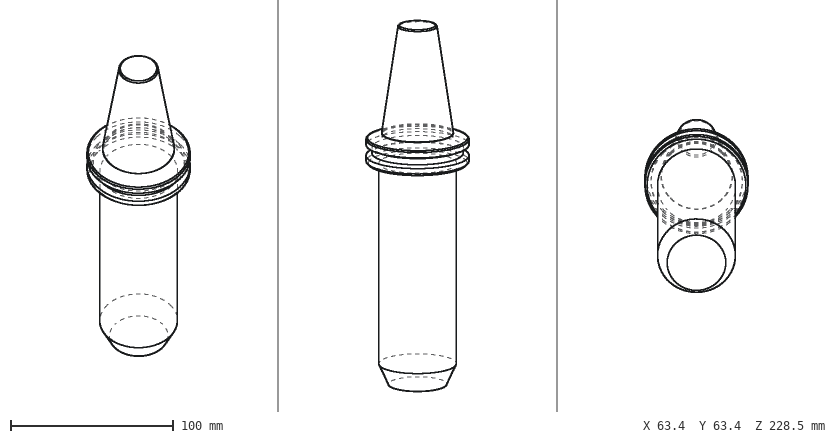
import cadquery as cq

total_height = 228.5
gauge_height = 159.9
flange_top = 156.7
flange_bottom = 140.7
groove_center = 149.0
nose_height = 13.0

taper_top_radius = 12.0
taper_base_radius = 22.2
neck_radius = 21.7
flange_radius = 31.7
groove_radius = 28.0
body_radius = 24.0
nose_radius = 18.0

groove_floor_width = 3.9
groove_mouth_width = 6.9
taper_top_chamfer = 1.0
neck_step = 0.5
neck_fillet = 1.0
flange_top_chamfer = 1.0
flange_bottom_chamfer = 1.4

profile = (
    cq.Workplane("XZ")
    .moveTo(0, 0)
    .lineTo(nose_radius, 0)
    .lineTo(body_radius, nose_height)
    .lineTo(body_radius, flange_bottom)
    .lineTo(flange_radius - flange_bottom_chamfer, flange_bottom)
    .lineTo(flange_radius, flange_bottom + flange_bottom_chamfer)
    .lineTo(flange_radius, groove_center - groove_mouth_width / 2)
    .lineTo(groove_radius, groove_center - groove_floor_width / 2)
    .lineTo(groove_radius, groove_center + groove_floor_width / 2)
    .lineTo(flange_radius, groove_center + groove_mouth_width / 2)
    .lineTo(flange_radius, flange_top - flange_top_chamfer)
    .lineTo(flange_radius - flange_top_chamfer, flange_top)
    .lineTo(neck_radius + neck_fillet, flange_top)
    .radiusArc((neck_radius, flange_top + neck_fillet), neck_fillet)
    .lineTo(neck_radius, gauge_height - neck_step)
    .lineTo(taper_base_radius, gauge_height)
    .lineTo(taper_top_radius, total_height - taper_top_chamfer)
    .lineTo(taper_top_radius - taper_top_chamfer, total_height)
    .lineTo(0, total_height)
    .close()
)

result = profile.revolve(360, (0, 0, 0), (0, 1, 0))